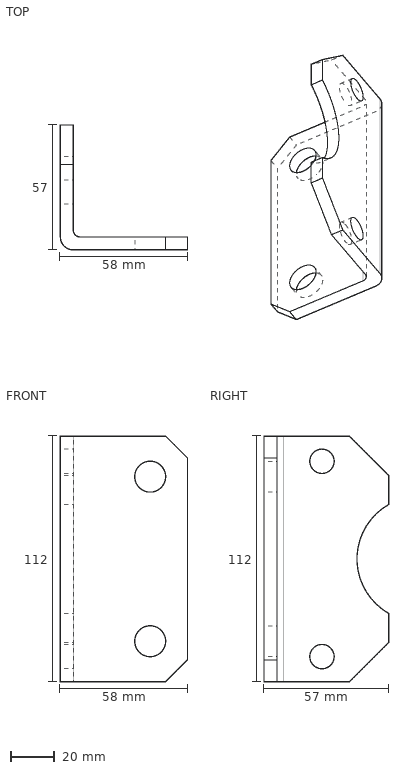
import cadquery as cq

base_length = 58.0
side_length = 57.0
height = 112.0
thickness = 6.0

outer_bend_radius = 6.0
inner_bend_radius = 3.0

base_chamfer = 10.0
base_hole_diameter = 14.0
base_hole_x = 41.0
base_hole_spacing = 75.0

side_chamfer = 18.0
side_hole_diameter = 11.0
side_hole_y = 26.5
side_hole_spacing = 89.0

relief_radius = 28.5
relief_depth = 14.5


def make_angle():
    """L-shaped section with a rounded bend, extruded upward and centred on Z = 0."""
    section = (
        cq.Workplane("XY")
        .polyline([
            (0, 0),
            (base_length, 0),
            (base_length, thickness),
            (thickness, thickness),
            (thickness, side_length),
            (0, side_length),
        ])
        .close()
        .extrude(height / 2, both=True)
    )
    rounded = section.edges(cq.selectors.NearestToPointSelector((0, 0, 0))).fillet(outer_bend_radius)
    inner_corner = cq.selectors.NearestToPointSelector((thickness, thickness, 0))
    return rounded.edges(inner_corner).fillet(inner_bend_radius)


def chamfer_free_corners(body):
    """Cut the two free corners of each flange at 45 degrees."""
    body = body.faces(">X").edges("|Y").chamfer(base_chamfer)
    return body.faces(">Y").edges("|X").chamfer(side_chamfer)


def base_cylinder(x, z, diameter):
    """Cutter along Y through the base flange."""
    axis_start = cq.Vector(x, 0, z)
    return cq.Workplane(cq.Solid.makeCylinder(diameter / 2, thickness, axis_start, cq.Vector(0, 1, 0)))


def side_cylinder(y, z, diameter):
    """Cutter along X through the side flange."""
    axis_start = cq.Vector(0, y, z)
    return cq.Workplane(cq.Solid.makeCylinder(diameter / 2, thickness, axis_start, cq.Vector(1, 0, 0)))


result = chamfer_free_corners(make_angle())

for side in (-1, 1):
    result = result.cut(base_cylinder(base_hole_x, side * base_hole_spacing / 2, base_hole_diameter))
    result = result.cut(side_cylinder(side_hole_y, side * side_hole_spacing / 2, side_hole_diameter))

relief_center_y = side_length - relief_depth + relief_radius
result = result.cut(side_cylinder(relief_center_y, 0, 2 * relief_radius))